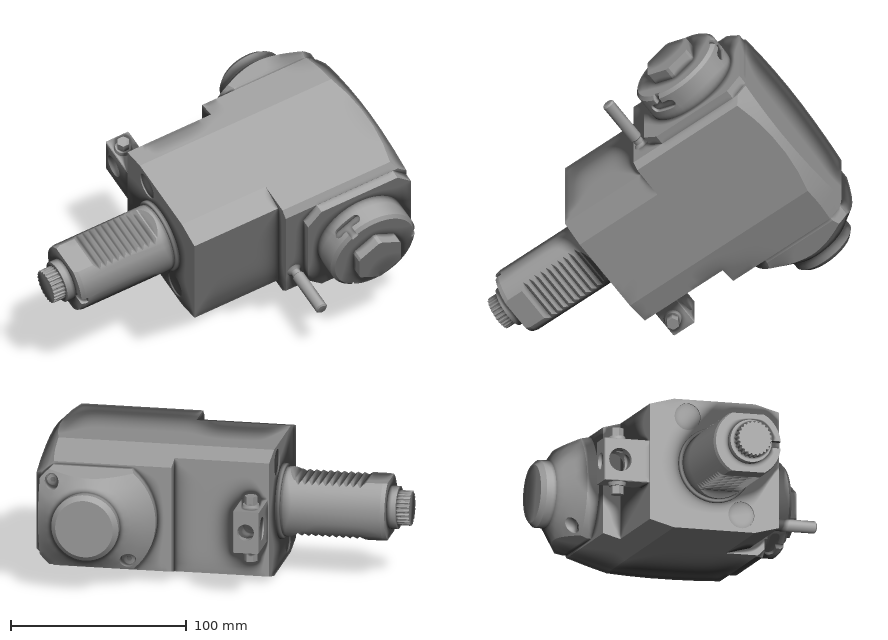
import cadquery as cq
import math


HALF_HEIGHT = 75.0 / 2
BODY_BACK = 133.8
HEAD_FRONT = 54.8
HEAD_LEFT = -49.0
HEAD_RIGHT = 47.5
HEAD_CHAMFER = 3.8
CORNER_CHAMFER = 3.5
FOOT_HALF_WIDTH = 38.7
FLAT_HALF_WIDTH = 24.2
SIDE_SLOPE = math.tan(math.radians(15))
CROWN_X = 9.6
CROWN_Y = 2.3
CROWN_RADIUS = 127.5
CROWN_SLOPE = 1.0

RECESS_X = 16.0
RECESS_Z = 27.5
RECESS_RADIUS = 7.7
RECESS_DEPTH = 0.8

SHANK_RADIUS = 20.0
SHANK_LENGTH = 63.0
SHANK_TAPER_LENGTH = 2.5
SHANK_TAPER = 0.6
RELIEF_RADIUS = 19.9
RELIEF_END = 3.8
FLANGE_RADIUS = 21.7
FLANGE_LENGTH = 2.5
FLANGE_FILLET = 1.0
COLLAR_RADIUS = 12.3
COLLAR_END = 68.0
SHANK_END = 209.0 - BODY_BACK
FLAT_HEIGHT = 17.0
TOOTH_COUNT = 9
TEETH_LENGTH = 36.0
TOOTH_PITCH = TEETH_LENGTH / TOOTH_COUNT
VALLEY_HEIGHT = 14.5
FIRST_VALLEY = 11.7
RAMP_START = 5.2
RAMP_END = 50.5
SPLINE_TEETH = 24
SPLINE_RADIUS = 10.0
SPLINE_ROOT = 9.2
SLOT_WIDTH = 4.2
SLOT_DEPTH = 4.2
SLOT_STEP_X = 14.8
SLOT_STEP_DEPTH = 2.5

SPINDLE_Y = 100.0

CAP_LEFT = -77.0
CAP_CHAMFER = 2.7
CAP_NOSE_RADIUS = 19.5
CAP_CONE_START = -68.5
CAP_CONE_END = -55.8
CAP_RADIUS = 37.5
CAP_BACK = 129.8
CAP_HALF_HEIGHT = 29.5
CAP_SLOPE_START = -51.5
CAP_SCREW_OFFSET = 22.2
CAP_BORE_RADIUS = 4.4
CAP_BORE_FLOOR = -55.0
CAP_HEAD_RADIUS = 3.3
CAP_HEAD_TOP = -56.0
CAP_SOCKET_WIDTH = 3.3
CAP_SOCKET_DEPTH = 0.8

PLATE_RIGHT = 53.0
PLATE_HALF = 33.6
PLATE_CHAMFER = 8.8
NUT_RADIUS = 27.5
NUT_RIGHT = 70.0
NUT_CHAMFER = 1.9
NUT_SLOTS = 3
NUT_FIRST_SLOT = 30
NUT_SLOT_X = 62.3
NUT_SLOT_WIDTH = 5.6
NUT_SLOT_LENGTH = 18.0
NUT_SLOT_FLOOR = 24.2
NUT_NOTCH_WIDTH = 4.2
HEX_FLATS = 27.4
HEX_CORNER_RADIUS = 15.3
HEX_RIGHT = 77.0

PIPE_Y = 60.2
PIPE_Z = -17.5
PIPE_RADIUS = 3.5
PIPE_NECK_RADIUS = 2.7
PIPE_SEAT_RADIUS = 4.4
PIPE_NECK_START = 49.1
PIPE_START = 51.8
PIPE_CHAMFER = 0.8
PIPE_RIGHT = 79.8

BLOCK_LEFT = -65.5
BLOCK_FRONT = 0.8
BLOCK_BACK = 15.9
BLOCK_HALF_HEIGHT = 12.3
BLOCK_CHAMFER = 0.5
BLOCK_HOLE_X = -56.0
BLOCK_BORE_RADIUS = 6.7
BLOCK_PORT_RADIUS = 4.8
BLOCK_PORT_END = -45.5
BLOCK_PASSAGE_RADIUS = 1.9
BLOCK_SCREW_Y = 7.1
SCREW_HOLE_RADIUS = 3.5
SCREW_HOLE_END = 6.7
SCREW_SEAT_RADIUS = 5.2
SCREW_SEAT_TOP_RADIUS = 4.5
SCREW_SEAT_HEIGHT = 2.0
SCREW_HEX = 7.5
SCREW_HEIGHT = 7.0


def turned_about_x(profile, y, z):
    """Revolve (x, radius) points about the X-parallel axis through (y, z)."""
    turned = cq.Workplane("XY").polyline(profile).close().revolve(360, (0, 0), (1, 0))
    return turned.translate((0, y, z))


def yz_plane(x, y=SPINDLE_Y):
    """Workplane facing +X, with its origin at the given x and y and at mid height."""
    return cq.Workplane("YZ", origin=(x, y, 0))


def along_y(outline, y_start, y_end):
    """Extrude a closed (x, z) outline from y_start to y_end."""
    plane = cq.Workplane("XZ", origin=(0, y_end, 0))
    return plane.polyline(outline).close().extrude(y_end - y_start)


def mirrored_in_z(upper):
    """Close an upper (x, z) outline with its mirror image below the axis."""
    return upper + [(x, -z) for x, z in reversed(upper)]


def side_height(x):
    """Height of a sloping side at distance abs(x) from the shank axis."""
    return HALF_HEIGHT - (abs(x) - FLAT_HALF_WIDTH) * SIDE_SLOPE


def make_body():
    head_outline = mirrored_in_z([
        (HEAD_LEFT, side_height(HEAD_LEFT)),
        (-FLAT_HALF_WIDTH, HALF_HEIGHT),
        (HEAD_RIGHT - HEAD_CHAMFER, HALF_HEIGHT),
        (HEAD_RIGHT, HALF_HEIGHT - HEAD_CHAMFER),
    ])
    head = along_y(head_outline, HEAD_FRONT, BODY_BACK)
    head = head.edges("<X and >Y").chamfer(CORNER_CHAMFER)

    foot_outline = mirrored_in_z([
        (-FOOT_HALF_WIDTH, side_height(FOOT_HALF_WIDTH)),
        (-FLAT_HALF_WIDTH, HALF_HEIGHT),
        (FLAT_HALF_WIDTH, HALF_HEIGHT),
        (FOOT_HALF_WIDTH, side_height(FOOT_HALF_WIDTH)),
    ])
    foot = along_y(foot_outline, 0, HEAD_FRONT)

    waist_radius = CROWN_RADIUS + HALF_HEIGHT * CROWN_SLOPE
    crown = (
        cq.Workplane("XZ")
        .polyline([
            (0, -HALF_HEIGHT),
            (CROWN_RADIUS, -HALF_HEIGHT),
            (waist_radius, 0),
            (CROWN_RADIUS, HALF_HEIGHT),
            (0, HALF_HEIGHT),
        ])
        .close()
        .revolve(360, (0, 0), (0, 1))
        .translate((CROWN_X, CROWN_Y, 0))
    )
    recesses = (
        cq.Workplane("XZ", origin=(0, RECESS_DEPTH, 0))
        .pushPoints([(-RECESS_X, RECESS_Z), (RECESS_X, -RECESS_Z)])
        .circle(RECESS_RADIUS)
        .extrude(RECESS_DEPTH)
    )
    return head.union(foot).intersect(crown).cut(recesses)


def make_shank():
    profile = [
        (0, 0),
        (RELIEF_RADIUS, 0),
        (RELIEF_RADIUS, -RELIEF_END),
        (SHANK_RADIUS, -RELIEF_END),
        (SHANK_RADIUS, -SHANK_LENGTH + SHANK_TAPER_LENGTH),
        (SHANK_RADIUS - SHANK_TAPER, -SHANK_LENGTH),
        (COLLAR_RADIUS, -SHANK_LENGTH),
        (COLLAR_RADIUS, -COLLAR_END),
        (0, -COLLAR_END),
    ]
    shank = cq.Workplane("XY").polyline(profile).close().revolve(360, (0, 0), (0, 1))
    flange = cq.Workplane("XZ").circle(FLANGE_RADIUS).extrude(FLANGE_LENGTH)
    flange = flange.faces("<Y").edges().fillet(FLANGE_FILLET)

    tooth_height = TOOTH_PITCH / 2
    crest_height = VALLEY_HEIGHT + tooth_height
    cutter_outline = [
        (-RAMP_START, SHANK_RADIUS),
        (-RAMP_START - (SHANK_RADIUS - crest_height), crest_height),
        (-FIRST_VALLEY + tooth_height, crest_height),
        (-FIRST_VALLEY, VALLEY_HEIGHT),
    ]
    for tooth in range(TOOTH_COUNT):
        valley = FIRST_VALLEY + tooth * TOOTH_PITCH
        cutter_outline += [
            (-valley - tooth_height, crest_height),
            (-valley - TOOTH_PITCH, VALLEY_HEIGHT),
        ]
    cutter_outline += [
        (-RAMP_END, FLAT_HEIGHT),
        (-SHANK_LENGTH, FLAT_HEIGHT),
        (-SHANK_LENGTH, SHANK_RADIUS),
    ]
    cutter = cq.Workplane("YZ").polyline(cutter_outline).close().extrude(SHANK_RADIUS, both=True)
    shank = shank.cut(cutter).cut(cutter.mirror("XY"))

    for inner_x, depth in [(COLLAR_RADIUS, SLOT_STEP_DEPTH), (SLOT_STEP_X, SLOT_DEPTH)]:
        slot = cq.Workplane("XY").box(
            SHANK_RADIUS - inner_x, depth, SLOT_WIDTH, centered=(False, False, True)
        )
        shank = shank.cut(slot.translate((inner_x, -SHANK_LENGTH, 0)))
    return shank.union(flange).union(make_spline())


def make_spline():
    tooth_angle = 2 * math.pi / SPLINE_TEETH
    tooth_shape = [(0, SPLINE_ROOT), (0.3, SPLINE_ROOT), (0.5, SPLINE_RADIUS), (0.8, SPLINE_RADIUS)]
    outline = []
    for tooth in range(SPLINE_TEETH):
        for share, radius in tooth_shape:
            angle = (tooth + share) * tooth_angle
            outline.append((radius * math.cos(angle), radius * math.sin(angle)))
    return along_y(outline, -SHANK_END, -COLLAR_END)


def make_cap():
    cap = turned_about_x(
        [
            (CAP_LEFT, 0),
            (CAP_LEFT, CAP_NOSE_RADIUS - CAP_CHAMFER),
            (CAP_LEFT + CAP_CHAMFER, CAP_NOSE_RADIUS),
            (CAP_CONE_START, CAP_NOSE_RADIUS),
            (CAP_CONE_END, CAP_RADIUS),
            (HEAD_LEFT, CAP_RADIUS),
            (HEAD_LEFT, 0),
        ],
        SPINDLE_Y,
        0,
    )
    left_height = CAP_HALF_HEIGHT - (CAP_SLOPE_START - CAP_LEFT) * SIDE_SLOPE
    envelope = mirrored_in_z([
        (CAP_LEFT, left_height),
        (CAP_SLOPE_START, CAP_HALF_HEIGHT),
        (HEAD_LEFT, CAP_HALF_HEIGHT),
    ])
    cap = cap.intersect(along_y(envelope, SPINDLE_Y - CAP_RADIUS, CAP_BACK))

    screw_places = [(CAP_SCREW_OFFSET, CAP_SCREW_OFFSET), (-CAP_SCREW_OFFSET, -CAP_SCREW_OFFSET)]
    bores = yz_plane(CAP_LEFT).pushPoints(screw_places).circle(CAP_BORE_RADIUS)
    heads = yz_plane(CAP_HEAD_TOP).pushPoints(screw_places).circle(CAP_HEAD_RADIUS)
    sockets = yz_plane(CAP_HEAD_TOP).pushPoints(screw_places).polygon(6, CAP_SOCKET_WIDTH)
    cap = cap.cut(bores.extrude(CAP_BORE_FLOOR - CAP_LEFT))
    cap = cap.union(heads.extrude(CAP_BORE_FLOOR - CAP_HEAD_TOP))
    return cap.cut(sockets.extrude(CAP_SOCKET_DEPTH))


def make_nut():
    nut = yz_plane(PLATE_RIGHT).circle(NUT_RADIUS).extrude(NUT_RIGHT - PLATE_RIGHT)
    nut = nut.faces(">X").edges().chamfer(NUT_CHAMFER)

    slot_depth = NUT_RADIUS - NUT_SLOT_FLOOR
    slot = (
        cq.Workplane("XY", origin=(NUT_SLOT_X, SPINDLE_Y, NUT_SLOT_FLOOR))
        .slot2D(NUT_SLOT_LENGTH, NUT_SLOT_WIDTH, 90)
        .extrude(slot_depth)
    )
    notch = (
        cq.Workplane("XY", origin=(NUT_SLOT_X, SPINDLE_Y, NUT_SLOT_FLOOR))
        .box(NUT_RIGHT - NUT_SLOT_X, NUT_NOTCH_WIDTH, slot_depth, centered=(False, True, False))
    )
    cutter = slot.union(notch)
    for index in range(NUT_SLOTS):
        angle = NUT_FIRST_SLOT + index * 360 / NUT_SLOTS
        nut = nut.cut(cutter.rotate((0, SPINDLE_Y, 0), (1, SPINDLE_Y, 0), angle))
    return nut


def make_spindle_nose():
    plate = yz_plane(HEAD_RIGHT).rect(2 * PLATE_HALF, 2 * PLATE_HALF).extrude(PLATE_RIGHT - HEAD_RIGHT)
    plate = plate.edges("|X").chamfer(PLATE_CHAMFER)
    hex_length = HEX_RIGHT - NUT_RIGHT
    hex_corners = HEX_FLATS / math.cos(math.pi / 6)
    hexagon = yz_plane(NUT_RIGHT).transformed(rotate=(0, 0, 90)).polygon(6, hex_corners).extrude(hex_length)
    hexagon = hexagon.intersect(yz_plane(NUT_RIGHT).circle(HEX_CORNER_RADIUS).extrude(hex_length))
    return plate.union(make_nut()).union(hexagon)


def make_pipe():
    return turned_about_x(
        [
            (HEAD_RIGHT, 0),
            (HEAD_RIGHT, PIPE_SEAT_RADIUS),
            (PIPE_NECK_START, PIPE_NECK_RADIUS),
            (PIPE_START, PIPE_NECK_RADIUS),
            (PIPE_START + PIPE_CHAMFER, PIPE_RADIUS),
            (PIPE_RIGHT - PIPE_CHAMFER, PIPE_RADIUS),
            (PIPE_RIGHT, PIPE_RADIUS - PIPE_CHAMFER),
            (PIPE_RIGHT, 0),
        ],
        PIPE_Y,
        PIPE_Z,
    )


def make_coolant_block():
    length = -FOOT_HALF_WIDTH - BLOCK_LEFT
    depth = BLOCK_BACK - BLOCK_FRONT
    middle_y = (BLOCK_FRONT + BLOCK_BACK) / 2
    block = (
        cq.Workplane("XY", origin=(BLOCK_LEFT, middle_y, 0))
        .box(length, depth, 2 * BLOCK_HALF_HEIGHT, centered=(False, True, True))
        .edges("|X or (|Z and <X)")
        .chamfer(BLOCK_CHAMFER)
    )
    bore = cq.Workplane("XZ", origin=(BLOCK_HOLE_X, BLOCK_BACK, 0)).circle(BLOCK_BORE_RADIUS).extrude(depth)
    port = yz_plane(BLOCK_LEFT, middle_y).circle(BLOCK_PORT_RADIUS).extrude(BLOCK_PORT_END - BLOCK_LEFT)
    passage = yz_plane(BLOCK_LEFT, middle_y).circle(BLOCK_PASSAGE_RADIUS).extrude(length)
    screw_holes = (
        cq.Workplane("XY", origin=(BLOCK_HOLE_X, BLOCK_SCREW_Y, 0))
        .circle(SCREW_HOLE_RADIUS)
        .extrude(SCREW_HOLE_END, both=True)
    )
    block = block.cut(bore).cut(port).cut(passage).cut(screw_holes)

    screw_plane = cq.Workplane("XY", origin=(BLOCK_HOLE_X, BLOCK_SCREW_Y, BLOCK_HALF_HEIGHT))
    seat = (
        screw_plane.circle(SCREW_SEAT_RADIUS)
        .workplane(offset=SCREW_SEAT_HEIGHT)
        .circle(SCREW_SEAT_TOP_RADIUS)
        .loft()
    )
    head = screw_plane.transformed(rotate=(0, 0, 90)).polygon(6, SCREW_HEX).extrude(SCREW_HEIGHT)
    screw = seat.union(head)
    return block.union(screw).union(screw.mirror("XY"))


result = (
    make_body()
    .union(make_shank())
    .union(make_cap())
    .union(make_spindle_nose())
    .union(make_pipe())
    .union(make_coolant_block())
)